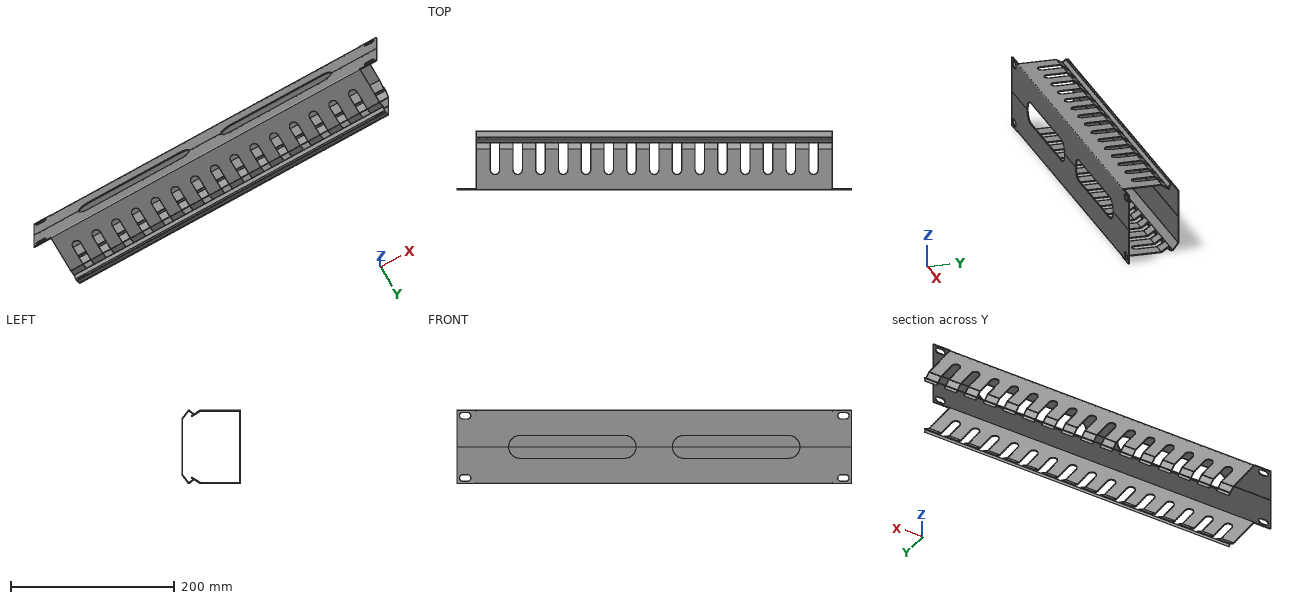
import cadquery as cq
import math

panel_width = 483.0
depth = 72.0
height = 90.0
half_height = height / 2

tray_sheet = 1.5
bend_radius = 1.5
trough_width = 435.5
wall_bend_y = 49.7
lip_end_y = 60.5
lip_drop = 7.0

cover_sheet = 1.0
cover_flat_half_height = 34.5
ridge_back_y = 64.5
ridge_front_y = 62.0
ridge_top_z = half_height - 1.0
hook_end_y = 57.5
hook_end_z = 40.5

pad_length = 10.0
pad_width = 2.0
pad_end_margin = 4.0

slot_count = 15
slot_span = 390.0
slot_pitch = slot_span / (slot_count - 1)
slot_width = 11.0
slot_bottom_y = 19.0

window_length = 156.0
window_height = 28.0
window_spacing = 200.5

mount_hole_length = 13.5
mount_hole_height = 7.5
mount_spacing_x = 462.5
mount_spacing_z = 76.5

clearance = 5.0


def inner_offset(path, thickness):
    """Shift an open (y, z) path sideways to its right by the thickness, with mitred corners."""
    headings = [
        math.atan2(end[1] - start[1], end[0] - start[0])
        for start, end in zip(path, path[1:])
    ]
    arriving = headings[:1] + headings
    leaving = headings + headings[-1:]
    shifted = []
    for (y, z), before, after in zip(path, arriving, leaving):
        middle = (before + after) / 2
        reach = thickness / math.cos((after - before) / 2)
        shifted.append((y + reach * math.sin(middle), z - reach * math.cos(middle)))
    return shifted


def folded_sheet(outer_path, thickness):
    """Sheet across the trough width whose outer face follows a (y, z) path, thickened inwards."""
    outline = outer_path + inner_offset(outer_path, thickness)[::-1]
    return (
        cq.Workplane("YZ")
        .polyline(outline)
        .close()
        .extrude(trough_width / 2, both=True)
    )


def panel_cutter(length, slot_height, centers):
    """Horizontal round-ended cutters through the front panel at the (x, z) centres."""
    return (
        cq.Workplane("XZ", origin=(0, -clearance, 0))
        .pushPoints(centers)
        .slot2D(length, slot_height)
        .extrude(-(tray_sheet + 2 * clearance))
    )


def cable_slot_cutter():
    """Row of slots with a round front end, open at the lip edge of the tray wall."""
    slot_end_y = depth + slot_width
    slot_length = slot_end_y - slot_bottom_y
    slot_center_y = (slot_end_y + slot_bottom_y) / 2
    return (
        cq.Workplane("XY", origin=(0, slot_center_y, half_height / 2))
        .rarray(slot_pitch, 5, slot_count, 1)
        .slot2D(slot_length, slot_width, 90)
        .extrude(half_height)
    )


def make_upper_tray():
    outer_path = [
        (0, 0),
        (0, half_height),
        (wall_bend_y, half_height),
        (lip_end_y, half_height - lip_drop),
    ]
    front_bend = cq.selectors.NearestToPointSelector((0, 0, half_height))
    channel = folded_sheet(outer_path, tray_sheet).edges(front_bend).fillet(bend_radius)

    ear_width = (panel_width - trough_width) / 2
    ears = (
        cq.Workplane("XY", origin=(0, tray_sheet / 2, 0))
        .rarray(trough_width + ear_width, 5, 2, 1)
        .rect(ear_width, tray_sheet)
        .extrude(half_height)
    )
    window_centers = [(side * window_spacing / 2, 0) for side in (-1, 1)]
    mount_centers = [(side * mount_spacing_x / 2, mount_spacing_z / 2) for side in (-1, 1)]
    return (
        channel.union(ears)
        .cut(panel_cutter(window_length, window_height, window_centers))
        .cut(panel_cutter(mount_hole_length, mount_hole_height, mount_centers))
        .cut(cable_slot_cutter())
    )


def make_upper_cover():
    outer_path = [
        (hook_end_y, hook_end_z),
        (ridge_front_y, ridge_top_z),
        (ridge_back_y, ridge_top_z),
        (depth, cover_flat_half_height),
        (depth, 0),
    ]
    cover = folded_sheet(outer_path, cover_sheet)

    pad_spacing = trough_width - 2 * pad_end_margin - pad_length
    pads = (
        cq.Workplane("XY", origin=(0, (ridge_back_y + ridge_front_y) / 2, ridge_top_z))
        .rarray(pad_spacing, 5, 2, 1)
        .rect(pad_length, pad_width)
        .extrude(half_height - ridge_top_z)
    )
    return cover.union(pads)


upper_tray = make_upper_tray()
lower_tray = upper_tray.mirror("XY")
upper_cover = make_upper_cover()
lower_cover = upper_cover.mirror("XY")

result = cq.Compound.makeCompound(
    [body.solids().val() for body in (upper_tray, lower_tray, upper_cover, lower_cover)]
)